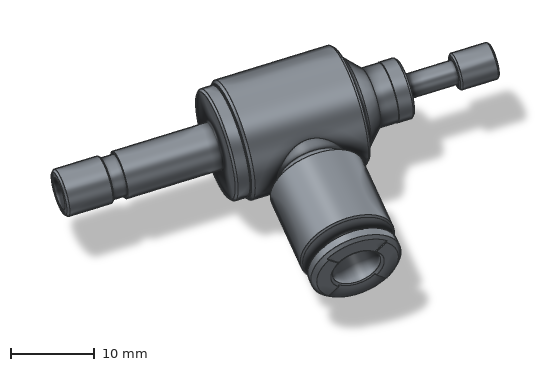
import cadquery as cq
import math


tube_diameter = 5.95
tube_chamfer = 0.3
tube_bore_diameter = 4.0
groove_diameter = 5.2
groove_start = 5.95
groove_chamfer = 0.15
groove_end = 7.7
tube_root_fillet = 0.2

collar_diameter = 14.0
collar_start = 19.95
collar_chamfer = 0.3
collar_back_chamfer = 0.15
body_diameter = 15.0
body_start = 21.9
body_end = 37.0
body_chamfer = 0.35

bonnet_diameter = 11.5
bonnet_cone_start = 37.65
bonnet_neck_diameter = 7.5
bonnet_cone_end = 39.65
nut_diameter = 7.6
nut_start = 41.95
nut_end = 44.05
nut_chamfer = 0.3
nut_base_chamfer = (nut_diameter - bonnet_neck_diameter) / 2

stem_diameter = 3.0
knob_diameter = 4.6
knob_start = 50.45
overall_length = 55.4
knob_chamfer = 0.2

overall_width = 30.4
port_center_y = 29.5
port_diameter = 12.0
port_neck_diameter = 9.0
port_cone_start = 7.75
port_cone_length = (port_diameter - port_neck_diameter) / 2
port_end = 19.65
port_chamfer = 0.2

button_neck_diameter = 7.1
button_root_diameter = 7.5
button_flange_diameter = 11.5
button_flange_start = 21.35
button_end = overall_width - body_diameter / 2
button_chamfer = 0.55
button_bore_diameter = 6.15
button_mouth_chamfer = 0.35

recess_depth = 0.15
recess_half_angle = math.radians(45)


def turned(start, end, diameter, start_chamfer=0.0, end_chamfer=0.0):
    """Cylinder along Y with optional 45-degree chamfers at its ends."""
    cylinder = cq.Workplane("XZ", origin=(0, start, 0)).circle(diameter / 2).extrude(start - end)
    if start_chamfer:
        cylinder = cylinder.faces("<Y").chamfer(start_chamfer)
    if end_chamfer:
        cylinder = cylinder.faces(">Y").chamfer(end_chamfer)
    return cylinder


def cone(start, end, start_diameter, end_diameter):
    """Truncated cone along Y."""
    profile = [
        (0, start),
        (start_diameter / 2, start),
        (end_diameter / 2, end),
        (0, end),
    ]
    return cq.Workplane("XY").polyline(profile).close().revolve(360, (0, 0), (0, 1))


def plug_in_tube():
    tube = turned(0, groove_start, tube_diameter, tube_chamfer, groove_chamfer)
    tube = tube.union(turned(groove_start, groove_end, groove_diameter))
    return tube.union(turned(groove_end, collar_start, tube_diameter))


def tube_root():
    """Concave fillet ring between the tube and the collar face."""
    tube_radius = tube_diameter / 2
    mid_offset = tube_root_fillet * (1 - 0.5 ** 0.5)
    profile = (
        cq.Workplane("XY")
        .moveTo(0, collar_start - tube_root_fillet)
        .lineTo(tube_radius, collar_start - tube_root_fillet)
        .threePointArc(
            (tube_radius + mid_offset, collar_start - mid_offset),
            (tube_radius + tube_root_fillet, collar_start),
        )
        .lineTo(0, collar_start)
        .close()
    )
    return profile.revolve(360, (0, 0), (0, 1))


def main_body():
    collar = turned(collar_start, body_start, collar_diameter, collar_chamfer, collar_back_chamfer)
    return collar.union(turned(body_start, body_end, body_diameter, body_chamfer, body_chamfer))


def bonnet():
    base = turned(body_end, bonnet_cone_start, bonnet_diameter)
    taper = cone(bonnet_cone_start, bonnet_cone_end, bonnet_diameter, bonnet_neck_diameter)
    neck = turned(bonnet_cone_end, nut_start, bonnet_neck_diameter)
    nut = turned(nut_start, nut_end, nut_diameter, nut_base_chamfer, nut_chamfer)
    return base.union(taper).union(neck).union(nut)


def adjusting_screw():
    stem = turned(nut_end, knob_start, stem_diameter)
    return stem.union(turned(knob_start, overall_length, knob_diameter, knob_chamfer, knob_chamfer))


def side_port():
    """Port and release button, turned about Y and then swung round to +X."""
    cone_end = port_cone_start + port_cone_length
    root_start = button_flange_start - (button_root_diameter - button_neck_diameter) / 2
    port = turned(0, port_cone_start, port_neck_diameter)
    port = port.union(cone(port_cone_start, cone_end, port_neck_diameter, port_diameter))
    port = port.union(turned(cone_end, port_end, port_diameter, 0, port_chamfer))
    port = port.union(turned(port_end, root_start, button_neck_diameter))
    port = port.union(cone(root_start, button_flange_start, button_neck_diameter, button_root_diameter))
    port = port.union(turned(button_flange_start, button_end, button_flange_diameter, 0, button_chamfer))
    port = port.cut(turned(cone_end, button_end, button_bore_diameter))
    mouth_diameter = button_bore_diameter + 2 * button_mouth_chamfer
    mouth = cone(button_end - button_mouth_chamfer, button_end, button_bore_diameter, mouth_diameter)
    port = port.cut(mouth)
    return port.rotate((0, 0, 0), (0, 0, 1), -90).translate((0, port_center_y, 0))


def button_recess(side):
    """Wedge across the button face, opening towards +Z (side = 1) or -Z (side = -1)."""
    wedge_height = button_flange_diameter / 2
    half_width = wedge_height * math.tan(recess_half_angle)
    corners = [
        (0, 0),
        (half_width, side * wedge_height),
        (-half_width, side * wedge_height),
    ]
    wedge = cq.Workplane("YZ", origin=(button_end - recess_depth, port_center_y, 0))
    return wedge.polyline(corners).close().extrude(recess_depth)


result = plug_in_tube()
for section in (tube_root(), main_body(), bonnet(), adjusting_screw(), side_port()):
    result = result.union(section)
for side in (1, -1):
    result = result.cut(button_recess(side))

result = result.cut(turned(0, collar_start, tube_bore_diameter))